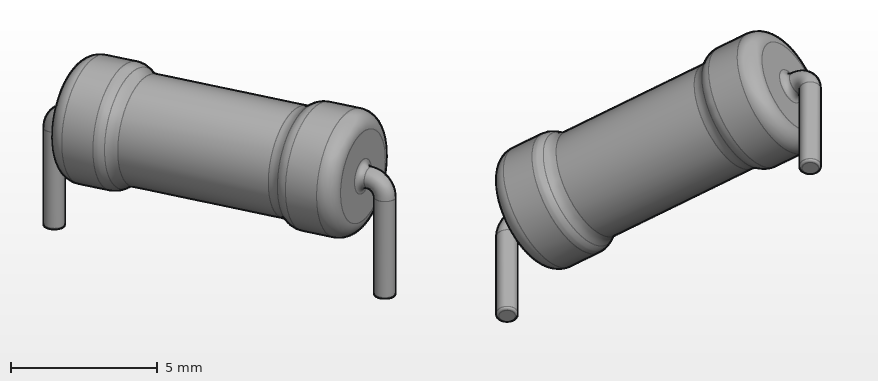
import cadquery as cq
import math


overall_length = 13.45
overall_height = 6.52
lead_diameter = 0.75
bend_radius = 0.6
tip_rounding = 0.1

body_length = 11.0
cap_diameter = 4.5
cap_rounding = 0.6
cap_length = 1.8
neck_length = 0.81
barrel_diameter = 3.94

cap_radius = cap_diameter / 2
barrel_radius = barrel_diameter / 2
lead_radius = lead_diameter / 2
lead_bottom = cap_radius - overall_height
lead_x = overall_length / 2 - lead_radius
bend_x = lead_x - bend_radius
body_end = body_length / 2
flare_radius = bend_x - body_end

neck_drop = cap_radius - barrel_radius
neck_angle = 2 * math.atan(neck_drop / neck_length)
neck_hollow = neck_length / math.sin(neck_angle) - cap_rounding
neck_start = body_end - cap_length
neck_end = neck_start - neck_length
inflection_x = neck_start - cap_rounding * math.sin(neck_angle)
inflection_radius = cap_radius - cap_rounding * (1 - math.cos(neck_angle))


def arc_middle(center, radius, angle):
    """Point at the given angle (radians) on an arc about center."""
    return (center[0] + radius * math.cos(angle), center[1] + radius * math.sin(angle))


def make_barrel():
    """Plain cylinder between the two neck-downs."""
    return cq.Workplane("YZ", origin=(-neck_end, 0, 0)).circle(barrel_radius).extrude(2 * neck_end)


def make_cap():
    """Right end of the body: neck-down, rounded cap and the flare that meets the lead."""
    up = math.pi / 2
    down = -math.pi / 2
    rim_center = (body_end - cap_rounding, cap_radius - cap_rounding)
    flare_center = (body_end + flare_radius, lead_radius + flare_radius)
    crest_center = (neck_start, cap_radius - cap_rounding)
    hollow_center = (neck_end, barrel_radius + neck_hollow)
    profile = (
        cq.Workplane("XZ")
        .moveTo(neck_end, 0)
        .lineTo(bend_x, 0)
        .lineTo(bend_x, lead_radius)
        .threePointArc(
            arc_middle(flare_center, flare_radius, math.radians(225)),
            (body_end, lead_radius + flare_radius),
        )
        .lineTo(body_end, cap_radius - cap_rounding)
        .threePointArc(
            arc_middle(rim_center, cap_rounding, math.radians(45)),
            (body_end - cap_rounding, cap_radius),
        )
        .lineTo(neck_start, cap_radius)
        .threePointArc(
            arc_middle(crest_center, cap_rounding, up + neck_angle / 2),
            (inflection_x, inflection_radius),
        )
        .threePointArc(
            arc_middle(hollow_center, neck_hollow, down + neck_angle / 2),
            (neck_end, barrel_radius),
        )
        .close()
    )
    return profile.revolve(360, (0, 0, 0), (1, 0, 0))


def make_lead():
    """Right lead: a quarter bend, then straight down to a rounded tip."""
    bend = (
        cq.Workplane("YZ", origin=(bend_x, 0, 0))
        .circle(lead_radius)
        .revolve(90, (-0.13, -bend_radius, 0), (0.13, -bend_radius, 0))
    )
    leg = (
        cq.Workplane("XY", origin=(lead_x, 0, lead_bottom))
        .circle(lead_radius)
        .extrude(-bend_radius - lead_bottom)
        .faces("<Z")
        .edges()
        .fillet(tip_rounding)
    )
    return bend.union(leg)


right_end = make_cap().union(make_lead())
left_end = right_end.mirror("YZ")
result = make_barrel().union(right_end).union(left_end)